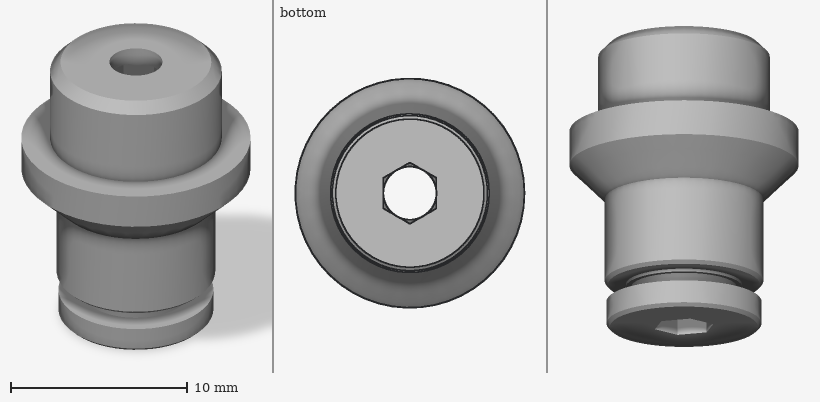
import cadquery as cq

total_height = 16.5
flange_top = 11.5
flange_bottom = 9.5
neck_top = 7.5
neck_bottom = 2.49
groove_top = 2.33
groove_bottom = 1.7
foot_top = 1.48

head_diameter = 9.74
flange_diameter = 13.0
neck_diameter = 9.0
step_diameter = 6.6
groove_diameter = 6.0
groove_base_diameter = 6.3
foot_diameter = 8.8

head_chamfer = 0.6
lower_chamfer = 0.2

bore_diameter = 3.0
mouth_depth = 1.0


def make_body():
    """Revolve the stepped outer profile about Z."""
    head_radius = head_diameter / 2
    neck_radius = neck_diameter / 2
    foot_radius = foot_diameter / 2
    profile = [
        (0, 0),
        (foot_radius - lower_chamfer, 0),
        (foot_radius, lower_chamfer),
        (foot_radius, foot_top),
        (groove_base_diameter / 2, foot_top),
        (groove_diameter / 2, groove_bottom),
        (groove_diameter / 2, groove_top),
        (step_diameter / 2, groove_top),
        (step_diameter / 2, neck_bottom),
        (neck_radius - lower_chamfer, neck_bottom),
        (neck_radius, neck_bottom + lower_chamfer),
        (neck_radius, neck_top),
        (flange_diameter / 2, flange_bottom),
        (flange_diameter / 2, flange_top),
        (head_radius, flange_top),
        (head_radius, total_height - head_chamfer),
        (head_radius - head_chamfer, total_height),
        (0, total_height),
    ]
    return cq.Workplane("XZ").polyline(profile).close().revolve(360, (0, 0), (0, 1))


def make_bore():
    """Round mouth at the top, then a hexagon with flats facing +X and -X to the bottom."""
    mouth_floor = total_height - mouth_depth
    mouth = (
        cq.Workplane("XY")
        .workplane(offset=mouth_floor)
        .circle(bore_diameter / 2)
        .extrude(mouth_depth)
    )
    hexagon = (
        cq.Workplane("XY")
        .polygon(6, bore_diameter, circumscribed=True)
        .extrude(mouth_floor)
    )
    return mouth.union(hexagon)


result = make_body().cut(make_bore())